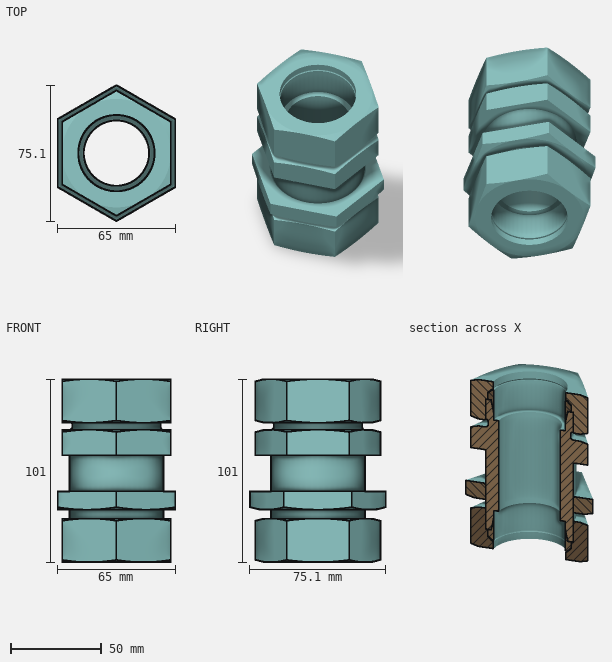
import cadquery as cq
import math

OVERALL_LENGTH = 101.0
NUT_HEIGHT = 24.0
LOWER_GAP = 4.9
LOCKNUT_HEIGHT = 10.0
BARREL_LENGTH = 20.0
COLLAR_HEIGHT = 14.0

LOCKNUT_BOTTOM = NUT_HEIGHT + LOWER_GAP
LOCKNUT_TOP = LOCKNUT_BOTTOM + LOCKNUT_HEIGHT
COLLAR_BOTTOM = LOCKNUT_TOP + BARREL_LENGTH
COLLAR_TOP = COLLAR_BOTTOM + COLLAR_HEIGHT

NUT_FLATS = 60.0
LOCKNUT_FLATS = 65.0
HEX_CHAMFER_ANGLE = 15.0
CORNER_CLEARANCE = 1.0

THREAD_DIAMETER = 52.0
RELIEF_DIAMETER = 49.0
FLOW_BORE_DIAMETER = 36.0
TUBE_DIAMETER = 42.0
NUT_MOUTH_DIAMETER = 42.3
CONE_MOUTH_DIAMETER = 45.0
RING_DIAMETER = 49.0
LOCKNUT_COUNTERSINK_DIAMETER = 53.3

NUT_MOUTH_DEPTH = 4.2
RING_DEPTH = 5.2
RING_NOSE_DEPTH = 18.3
TUBE_STOP_DEPTH = 23.0

CONE_HALF_ANGLE = 12.0
CONE_LENGTH = (CONE_MOUTH_DIAMETER - TUBE_DIAMETER) / 2 / math.tan(math.radians(CONE_HALF_ANGLE))
BODY_END_DEPTH = RING_NOSE_DEPTH - CONE_LENGTH

RING_SHOULDER_DEPTH = NUT_MOUTH_DEPTH + (RING_DIAMETER - NUT_MOUTH_DIAMETER) / 2

RING_FACE_DIAMETER = NUT_MOUTH_DIAMETER + 2 * (RING_DEPTH - NUT_MOUTH_DEPTH)

RELIEF_WIDTH = 4.6


def revolve(points):
    """Turn a closed (radius, height) outline around the Z axis."""
    return cq.Workplane("XZ").polyline(points).close().revolve(360, (0, 0), (0, 1))


def cylinder(diameter, bottom, top):
    return cq.Workplane("XY", origin=(0, 0, bottom)).circle(diameter / 2).extrude(top - bottom)


def hexagon(flats, bottom, top, chamfer_bottom=False, chamfer_top=False):
    """Hexagonal prism with two flats facing X, its corners chamfered by a cone at the chosen ends."""
    inner = flats / 2
    outer = flats / math.sqrt(3) + CORNER_CLEARANCE
    drop = (outer - inner) * math.tan(math.radians(HEX_CHAMFER_ANGLE))
    bottom_rim = [(inner, bottom), (outer, bottom + drop)] if chamfer_bottom else [(outer, bottom)]
    top_rim = [(outer, top - drop), (inner, top)] if chamfer_top else [(outer, top)]
    envelope = revolve([(0, bottom), *bottom_rim, *top_rim, (0, top)])
    prism = (
        cq.Workplane("XY", origin=(0, 0, bottom))
        .polygon(6, flats, circumscribed=True)
        .extrude(top - bottom)
    )
    return prism.intersect(envelope)


def to_top(lower_part):
    """Mirror a part at the lower end to the upper end."""
    middle = (0, 0, OVERALL_LENGTH / 2)
    return lower_part.mirror("XY", middle)


def make_union_nut():
    nut = hexagon(NUT_FLATS, 0, NUT_HEIGHT, chamfer_bottom=True, chamfer_top=True)
    bore = revolve([
        (0, 0),
        (NUT_MOUTH_DIAMETER / 2, 0),
        (NUT_MOUTH_DIAMETER / 2, NUT_MOUTH_DEPTH),
        (RING_DIAMETER / 2, RING_SHOULDER_DEPTH),
        (RING_DIAMETER / 2, BODY_END_DEPTH),
        (THREAD_DIAMETER / 2, BODY_END_DEPTH),
        (THREAD_DIAMETER / 2, NUT_HEIGHT),
        (0, NUT_HEIGHT),
    ])
    return nut.cut(bore)


def make_cutting_ring():
    return revolve([
        (TUBE_DIAMETER / 2, RING_DEPTH),
        (RING_FACE_DIAMETER / 2, RING_DEPTH),
        (RING_DIAMETER / 2, RING_SHOULDER_DEPTH),
        (RING_DIAMETER / 2, BODY_END_DEPTH),
        (CONE_MOUTH_DIAMETER / 2, BODY_END_DEPTH),
        (TUBE_DIAMETER / 2, RING_NOSE_DEPTH),
    ])


def make_locknut():
    nut = hexagon(LOCKNUT_FLATS, LOCKNUT_BOTTOM, LOCKNUT_TOP, chamfer_bottom=True)
    nut = nut.cut(cylinder(THREAD_DIAMETER, LOCKNUT_BOTTOM, LOCKNUT_TOP))
    countersink_depth = (LOCKNUT_COUNTERSINK_DIAMETER - THREAD_DIAMETER) / 2
    return nut.faces(">Z").edges("%CIRCLE").chamfer(countersink_depth)


def tube_socket():
    """Sealing cone and tube bore at the lower end of the fitting body."""
    return revolve([
        (0, BODY_END_DEPTH),
        (CONE_MOUTH_DIAMETER / 2, BODY_END_DEPTH),
        (TUBE_DIAMETER / 2, RING_NOSE_DEPTH),
        (TUBE_DIAMETER / 2, TUBE_STOP_DEPTH),
        (0, TUBE_STOP_DEPTH),
    ])


def thread_relief():
    """Groove around the thread above the collar, with a quarter round at each end."""
    outer = THREAD_DIAMETER / 2
    inner = RELIEF_DIAMETER / 2
    depth = outer - inner
    top = COLLAR_TOP + RELIEF_WIDTH
    arc_inset = depth * (1 - math.sqrt(0.5))
    profile = (
        cq.Workplane("XZ")
        .moveTo(outer, COLLAR_TOP)
        .threePointArc((inner + arc_inset, COLLAR_TOP + arc_inset), (inner, COLLAR_TOP + depth))
        .lineTo(inner, top - depth)
        .threePointArc((inner + arc_inset, top - arc_inset), (outer, top))
        .close()
    )
    return profile.revolve(360, (0, 0), (0, 1))


def make_fitting_body():
    bottom = BODY_END_DEPTH
    top = OVERALL_LENGTH - BODY_END_DEPTH
    body = cylinder(THREAD_DIAMETER, bottom, top)
    body = body.cut(thread_relief())
    body = body.union(hexagon(NUT_FLATS, COLLAR_BOTTOM, COLLAR_TOP, chamfer_top=True))
    body = body.cut(cylinder(FLOW_BORE_DIAMETER, bottom, top))
    return body.cut(tube_socket()).cut(to_top(tube_socket()))


fitting_body = make_fitting_body()
locknut = make_locknut()
lower_nut = make_union_nut()
upper_nut = to_top(lower_nut)
lower_ring = make_cutting_ring()
upper_ring = to_top(lower_ring)

result = cq.Compound.makeCompound([
    fitting_body.val(),
    locknut.val(),
    lower_nut.val(),
    upper_nut.val(),
    lower_ring.val(),
    upper_ring.val(),
])